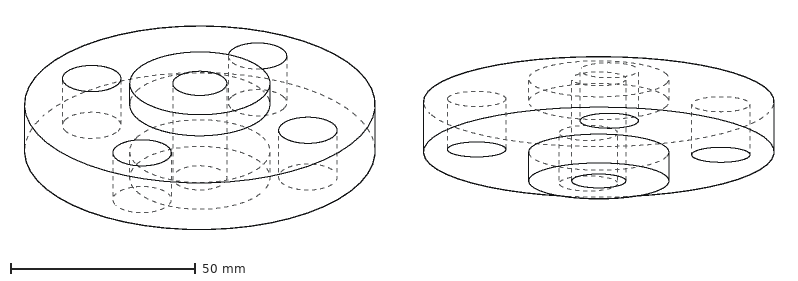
import cadquery as cq

flange_diameter = 95.25
flange_thickness = 14.2
hub_diameter = 38.1
upper_hub_height = 6.4
overall_height = 28.7
bore_diameter = 14.7
bolt_hole_diameter = 15.875
bolt_circle_diameter = 66.55
bolt_count = 4

lower_hub_height = overall_height - flange_thickness - upper_hub_height
bolt_start_angle = 180 / bolt_count


def cylinder(diameter, height, base_z=0):
    """Upright cylinder on the Z axis, standing on base_z."""
    return cq.Workplane("XY").workplane(offset=base_z).circle(diameter / 2).extrude(height)


def bolt_hole_cutter():
    """Ring of cylinders spanning the flange thickness."""
    return (
        cq.Workplane("XY")
        .workplane(offset=lower_hub_height)
        .polarArray(bolt_circle_diameter / 2, bolt_start_angle, 360, bolt_count)
        .circle(bolt_hole_diameter / 2)
        .extrude(flange_thickness)
    )


hub = cylinder(hub_diameter, overall_height)
flange = cylinder(flange_diameter, flange_thickness, lower_hub_height)
bore = cylinder(bore_diameter, overall_height)

result = hub.union(flange).cut(bore).cut(bolt_hole_cutter())